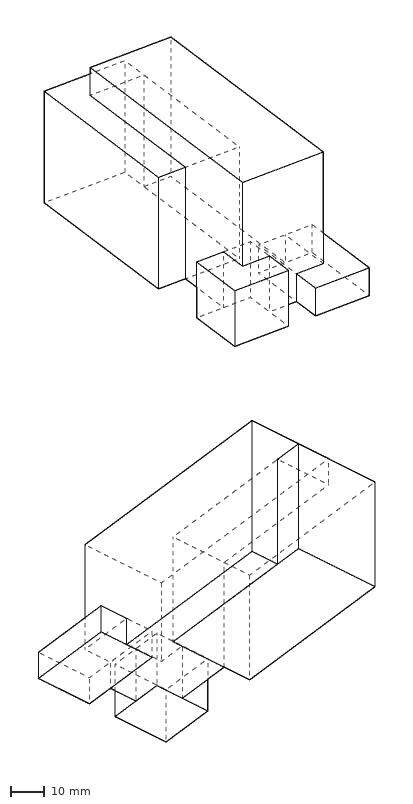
import cadquery as cq

overall_length = 100.0
overall_width = 50.0
overall_height = 50.0

main_margin = 10.0
main_length = overall_length - 2 * main_margin
main_width = overall_width - 2 * main_margin

tall_length = 60.0
tall_width = 30.0
tall_height = 40.0

cube_side = 20.0

low_length = 30.0
low_width = 20.0
low_height = 10.0


def standing_block(length, width, height, x_start, y_start):
    """Block on Z = 0 whose lowest X and Y corner is at (x_start, y_start)."""
    block = cq.Workplane("XY").box(length, width, height, centered=False)
    return block.translate((x_start, y_start, 0))


def make_tall_block():
    return standing_block(tall_length, tall_width, tall_height, 0, 0)


def make_corner_cube():
    return standing_block(cube_side, cube_side, cube_side, overall_length - cube_side, 0)


def make_low_block():
    x_start = overall_length - low_length
    y_start = overall_width - low_width
    return standing_block(low_length, low_width, low_height, x_start, y_start)


def make_main_block(seated_blocks):
    """Main block with a matching recess for each block that goes into it."""
    main = standing_block(main_length, main_width, overall_height, main_margin, main_margin)
    for block in seated_blocks:
        main = main.cut(block)
    return main


tall_block = make_tall_block()
corner_cube = make_corner_cube()
low_block = make_low_block()
main_block = make_main_block([tall_block, corner_cube, low_block])

result = cq.Compound.makeCompound(
    [main_block.solids().val(), tall_block.val(), corner_cube.val(), low_block.val()]
)